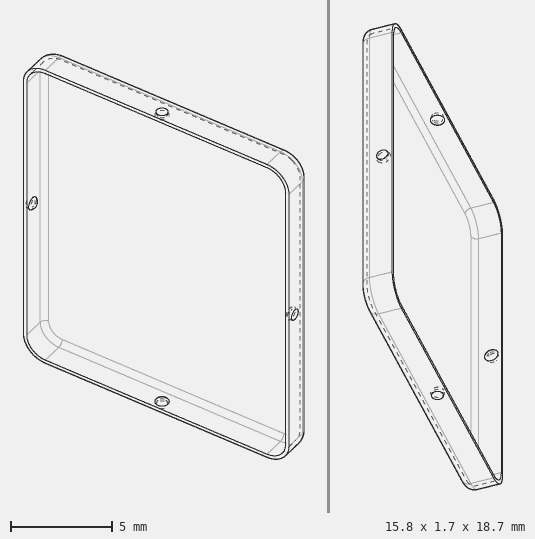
import cadquery as cq

width = 15.8
depth = 1.7
height = 18.7
wall = 0.2
corner_radius = 1.3
floor_edge_radius = 0.5

dimple_radius = 0.3
bump_radius = 0.41
detent_from_rim = 0.52


def rounded_block(inset):
    """Block inset from the outer shell, with rounded corners and back edge."""
    return (
        cq.Workplane("XZ")
        .rect(width - 2 * inset, height - 2 * inset)
        .extrude(-(depth - inset))
        .edges("|Y")
        .fillet(corner_radius - inset)
        .faces(">Y")
        .edges()
        .fillet(floor_edge_radius - inset)
    )


def detent_spheres(radius):
    """One sphere at the middle of each side wall, centered on its outer face."""
    half_x = width / 2
    half_z = height / 2
    spheres = cq.Workplane("XY")
    for angle, distance in [(0, half_x), (90, half_z), (180, half_x), (270, half_z)]:
        sphere = (
            cq.Workplane("XY")
            .sphere(radius, direct=(0, 1, 0))
            .translate((distance, detent_from_rim, 0))
            .rotate((0, 0, 0), (0, 1, 0), angle)
        )
        spheres = spheres.add(sphere)
    return spheres.combine()


outer = rounded_block(0)
tray = outer.cut(rounded_block(wall))
bumps = detent_spheres(bump_radius).intersect(outer)
result = tray.union(bumps).cut(detent_spheres(dimple_radius))